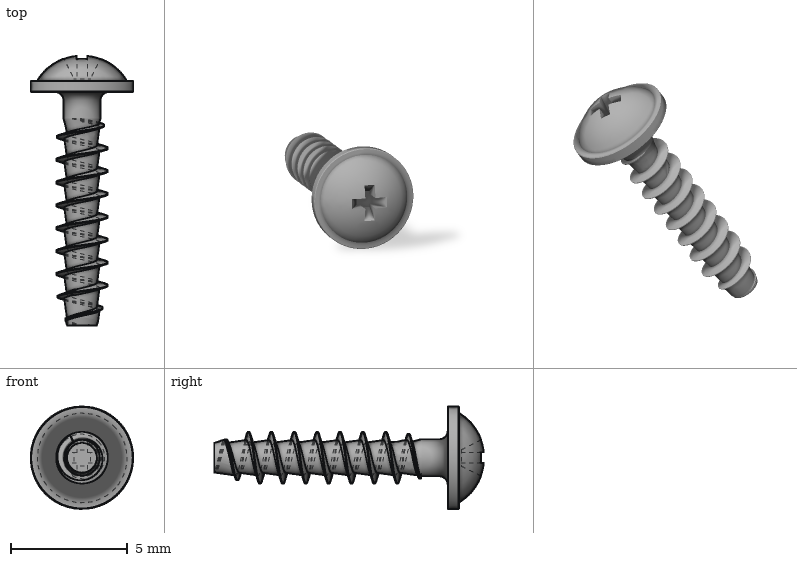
import cadquery as cq
import math


flange_diameter = 4.4
flange_thickness = 0.5
flange_edge_chamfer = 0.03
dome_base_diameter = 3.84
head_height = 1.58

recess_arm_width = 0.45
recess_span = 1.7
recess_floor_span = 0.7
recess_depth = 1.0

shank_length = 10.0
neck_diameter = 1.6
neck_length = 1.12
neck_cone_length = 0.6
neck_cone_burial = 0.01
underhead_fillet = 0.34
core_radius = 0.65
tip_radius = 0.635

pitch = 0.98
crest_radius = 1.108
crest_half_width = 0.02
ridge_base_radius = 0.645
ridge_base_half_width = 0.14
crest_position = -2.4
full_thread_start = -2.0
full_thread_end = -8.6
start_slope = 0.26
end_slope = 0.34
cylinder_angle = 360
overrun = 0.3

root_buried_radius = 0.62
root_high_radius = 0.765
root_high_offset = -0.08
root_low_offset = -0.92


def revolve_profile(profile):
    """Turn a closed radius / axial-position outline about the Y axis."""
    return profile.close().revolve(360, (0, 0, 0), (0, 1, 0))


def make_head():
    """Round washer flange with chamfered edges under a spherical dome."""
    flange_radius = flange_diameter / 2
    dome_base_radius = dome_base_diameter / 2
    dome_height = head_height - flange_thickness
    dome_radius = (dome_base_radius**2 + dome_height**2) / (2 * dome_height)
    dome_center = head_height - dome_radius
    middle_angle = (math.pi / 2 + math.atan2(flange_thickness - dome_center, dome_base_radius)) / 2
    dome_middle = (
        dome_radius * math.cos(middle_angle),
        dome_center + dome_radius * math.sin(middle_angle),
    )
    profile = (
        cq.Workplane("XY")
        .moveTo(0, 0)
        .lineTo(flange_radius - flange_edge_chamfer, 0)
        .lineTo(flange_radius, flange_edge_chamfer)
        .lineTo(flange_radius, flange_thickness - flange_edge_chamfer)
        .lineTo(flange_radius - flange_edge_chamfer, flange_thickness)
        .lineTo(dome_base_radius, flange_thickness)
        .threePointArc(dome_middle, (0, head_height))
    )
    return revolve_profile(profile)


def make_recess():
    """Cross recess: two crossing arms whose ends converge toward the floor."""
    arm = (
        cq.Workplane("XY")
        .moveTo(-recess_span / 2, head_height)
        .lineTo(recess_span / 2, head_height)
        .lineTo(recess_floor_span / 2, head_height - recess_depth)
        .lineTo(-recess_floor_span / 2, head_height - recess_depth)
        .close()
        .extrude(recess_arm_width / 2, both=True)
    )
    return arm.union(arm.rotate((0, 0, 0), (0, 1, 0), 90))


def make_neck():
    """Cylindrical neck with a fillet under the head and a cone fading into the core."""
    neck_radius = neck_diameter / 2
    blend_radius = core_radius - neck_cone_burial
    fillet_mid_offset = underhead_fillet * (1 - math.sqrt(0.5))
    profile = (
        cq.Workplane("XY")
        .moveTo(0, 0)
        .lineTo(neck_radius + underhead_fillet, 0)
        .threePointArc(
            (neck_radius + fillet_mid_offset, -fillet_mid_offset),
            (neck_radius, -underhead_fillet),
        )
        .lineTo(neck_radius, -neck_length)
        .lineTo(blend_radius, -neck_length - neck_cone_length)
        .lineTo(0, -neck_length - neck_cone_length)
    )
    return revolve_profile(profile)


def sweep_helix(section, bottom, top, start_radius, slope=0.0):
    """Sweep a (radial, axial) section, relative to a helix, up the Z axis.

    The helix starts at start_radius and widens by slope per unit of height. It is turned
    so that all sweeps share one phase, set by crest_position on the +X side.
    """
    cone_angle = math.atan(slope)
    slant = 1 / math.cos(cone_angle)
    helix_angle = math.degrees(cone_angle) if slope else cylinder_angle
    helix_height = (top - bottom) * slant
    helix = cq.Wire.makeHelix(pitch * slant, helix_height, start_radius, angle=helix_angle)
    points = [(start_radius + radial, axial) for radial, axial in section]
    body = cq.Workplane("XZ").polyline(points).close().sweep(cq.Workplane(helix), isFrenet=True)
    phase = 360 * (bottom - crest_position) / pitch
    return body.translate((0, 0, bottom)).rotate((0, 0, 0), (0, 0, 1), phase)


def make_threaded_shank():
    """Build core, root and ridge along Z, lay them along Y and trim them.

    The trim is flat at the neck and a blunt cone at the tip.
    """
    bottom = -shank_length - overrun
    top = -neck_length + overrun

    core = cq.Workplane("XY", origin=(0, 0, bottom - pitch)).circle(core_radius)
    core = core.extrude(top - bottom + 2 * pitch)

    root_section = [
        (root_buried_radius - core_radius, root_high_offset),
        (root_high_radius - core_radius, root_high_offset),
        (ridge_base_radius - core_radius, root_low_offset),
        (root_buried_radius - core_radius, root_low_offset),
    ]
    root = sweep_helix(root_section, bottom, top + pitch, core_radius)

    ridge_depth = crest_radius - ridge_base_radius
    ridge_section = [
        (0, crest_half_width),
        (0, -crest_half_width),
        (-ridge_depth, -ridge_base_half_width),
        (-ridge_depth, ridge_base_half_width),
    ]
    ridge = sweep_helix(ridge_section, full_thread_end, full_thread_start, crest_radius)
    end_radius = crest_radius - end_slope * (full_thread_end - bottom)
    end_tail = sweep_helix(ridge_section, bottom, full_thread_end, end_radius, end_slope)
    start_tail = sweep_helix(ridge_section, full_thread_start, top, crest_radius, -start_slope)

    shank = core
    for part in (root, ridge, end_tail, start_tail):
        shank = shank.union(part)
    shank = shank.rotate((0, 0, 0), (1, 0, 0), -90)
    trim_radius = flange_diameter / 2
    trim_cone_length = (trim_radius - tip_radius) / end_slope
    trim = (
        cq.Workplane("XY")
        .moveTo(0, -neck_length)
        .lineTo(trim_radius, -neck_length)
        .lineTo(trim_radius, trim_cone_length - shank_length)
        .lineTo(tip_radius, -shank_length)
        .lineTo(0, -shank_length)
    )
    return shank.intersect(revolve_profile(trim))


head = make_head().cut(make_recess())
result = head.union(make_neck()).union(make_threaded_shank())